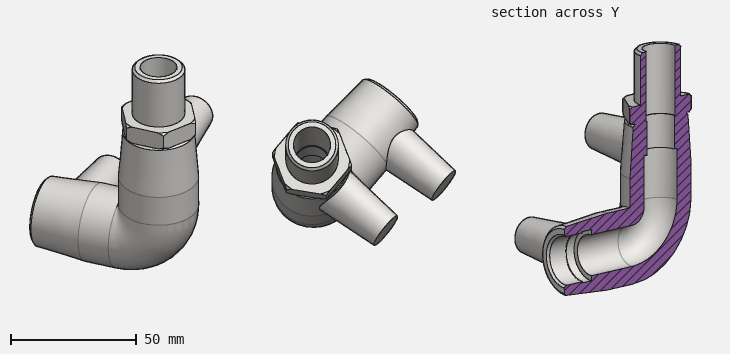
import cadquery as cq
import math

overall_x = 66.0
overall_y = 54.0
body_diameter = 32.0
body_radius = body_diameter / 2
bend_radius = 15.0
straight_length = 13.0
tip_radius = 14.3
edge_chamfer = 1.0
axis_x = overall_x - body_radius
axis_z = body_radius
limb_length = axis_x - bend_radius
taper_length = limb_length - straight_length
outlet_top = axis_z + axis_x

nut_height = 7.5
nut_corner_diameter = body_diameter
nut_top = outlet_top + nut_height
nipple_diameter = 21.0
nipple_top = 95.0

boss_reach = overall_y - body_radius
boss_tip_radius = 7.5
boss_taper_angle = 5.0
boss_from_end = 13.7

socket_diameter = 20.0
socket_mouth_diameter = 21.9
thread_depth = 9.5
relief_diameter = 21.0
socket_depth = 14.0
elbow_bore_diameter = 16.8
nipple_bore_diameter = 14.6
seat_bore_diameter = 14.0
seat_bore_bottom = outlet_top - socket_depth


def cylinder_z(diameter, bottom, top):
    """Cylinder on the outlet axis."""
    return (
        cq.Workplane("XY", origin=(axis_x, 0, bottom))
        .circle(diameter / 2)
        .extrude(top - bottom)
    )


def cylinder_x(diameter, start, end):
    """Cylinder on the inlet axis."""
    return (
        cq.Workplane("YZ", origin=(start, 0, axis_z))
        .circle(diameter / 2)
        .extrude(end - start)
    )


def make_limb():
    """Limb along +Z from its chamfered tip at the origin to the bend."""
    return (
        cq.Workplane("XZ")
        .moveTo(0, 0)
        .lineTo(tip_radius - edge_chamfer, 0)
        .lineTo(tip_radius, edge_chamfer)
        .lineTo(body_radius, taper_length)
        .lineTo(body_radius, limb_length)
        .lineTo(0, limb_length)
        .close()
        .revolve(360, (0, 0), (0, 1))
    )


def make_bend(radius):
    """Quarter bend; a section reaching past the bend centre is trimmed there."""
    section = cq.Workplane("YZ", origin=(limb_length, 0, axis_z))
    if radius > bend_radius:
        half_chord = math.sqrt(radius**2 - bend_radius**2)
        section = (
            section.moveTo(-half_chord, bend_radius)
            .threePointArc((0, -radius), (half_chord, bend_radius))
            .close()
        )
    else:
        section = section.circle(radius)
    return section.revolve(90, (0, bend_radius), (-1, bend_radius))


def make_nut():
    """Hexagonal nut with its corners chamfered by a coaxial turned blank."""
    hexagon = (
        cq.Workplane("XY", origin=(axis_x, 0, outlet_top))
        .polygon(6, nut_corner_diameter)
        .extrude(nut_height)
    )
    blank = cylinder_z(nut_corner_diameter, outlet_top, nut_top)
    blank = blank.faces("<Z or >Z").edges().chamfer(edge_chamfer)
    return hexagon.intersect(blank)


def make_boss(x, z):
    """Tapered boss from the limb axis out to its flat tip."""
    root_radius = boss_tip_radius + boss_reach * math.tan(math.radians(boss_taper_angle))
    cone = cq.Solid.makeCone(
        root_radius, boss_tip_radius, boss_reach, cq.Vector(x, 0, z), cq.Vector(0, 1, 0)
    )
    return cq.Workplane(cone)


def make_passage():
    """Inlet socket, elbow bore and nipple bore as one cutting body."""
    mouth_depth = (socket_mouth_diameter - socket_diameter) / 2
    mouth = cq.Solid.makeCone(
        socket_mouth_diameter / 2,
        socket_diameter / 2,
        mouth_depth,
        cq.Vector(0, 0, axis_z),
        cq.Vector(1, 0, 0),
    )
    return (
        cq.Workplane(mouth)
        .union(cylinder_x(socket_diameter, 0, thread_depth))
        .union(cylinder_x(relief_diameter, thread_depth, socket_depth))
        .union(cylinder_x(elbow_bore_diameter, socket_depth, limb_length))
        .union(make_bend(elbow_bore_diameter / 2))
        .union(cylinder_z(elbow_bore_diameter, axis_z + bend_radius, seat_bore_bottom))
        .union(cylinder_z(seat_bore_diameter, seat_bore_bottom, outlet_top))
        .union(cylinder_z(nipple_bore_diameter, outlet_top, nipple_top))
    )


inlet_limb = make_limb().rotate((0, 0, 0), (0, 1, 0), 90).translate((0, 0, axis_z))
outlet_limb = make_limb().rotate((0, 0, 0), (1, 0, 0), 180).translate((axis_x, 0, outlet_top))
nipple = cylinder_z(nipple_diameter, nut_top, nipple_top).faces(">Z").chamfer(edge_chamfer)

body = inlet_limb.union(outlet_limb).union(make_bend(body_radius))
body = body.union(make_nut()).union(nipple)
for boss_x, boss_z in ((boss_from_end, axis_z), (axis_x, outlet_top - boss_from_end)):
    body = body.union(make_boss(boss_x, boss_z))

result = body.cut(make_passage())